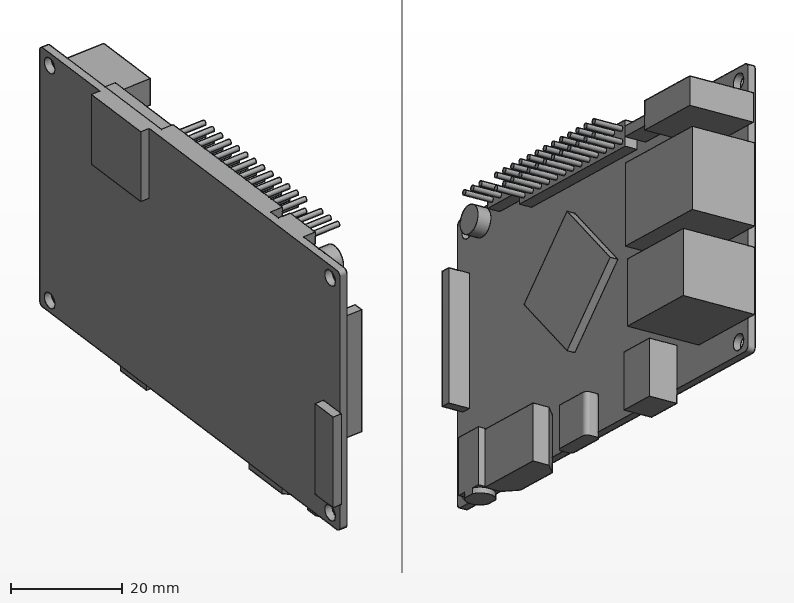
import cadquery as cq


BOARD_LENGTH = 90.9
BOARD_HEIGHT = 55.6
BOARD_THICKNESS = 1.6
BOARD_CORNER_RADIUS = 0.9
HOLE_DIAMETER = 3.2
HOLE_SIDE_INSET = 3.0
HOLE_TOP_INSET = 2.7
HOLE_BOTTOM_INSET = 2.5

BACK_MODULE_DEPTH = 1.9
BACK_CHIP_SIZE = 14.9
BACK_CHIP_LEFT = 18.2
CARD_SLOT_WIDTH = 5.4
CARD_SLOT_HEIGHT = 19.4
CARD_SLOT_BOTTOM = 6.2
CARD_SLOT_OVERHANG = 0.5

PORT_OVERHANG = 2.1
LOWER_PORT_LENGTH = 17.5
LOWER_PORT_HEIGHT = 13.0
LOWER_PORT_BOTTOM = 6.2
LOWER_PORT_DEPTH = 15.5
MIDDLE_PORT_LENGTH = 20.9
MIDDLE_PORT_HEIGHT = 16.1
MIDDLE_PORT_BOTTOM = 23.3
MIDDLE_PORT_DEPTH = 13.5
POWER_JACK_LENGTH = 14.1
POWER_JACK_HEIGHT = 5.7
POWER_JACK_BOTTOM = 43.4
POWER_JACK_DEPTH = 13.8
POWER_JACK_OVERHANG = 1.7

SLIM_SOCKET_THICKNESS = 2.1
SLIM_SOCKET_DEPTH = 4.5
TOP_SOCKET_LENGTH = 17.5
TOP_SOCKET_LEFT = 14.6
TOP_SOCKET_BOTTOM = 51.0
SIDE_SOCKET_LENGTH = 26.15
SIDE_SOCKET_LEFT = 87.1
SIDE_SOCKET_BOTTOM = 18.2

BOX_PORT_WIDTH = 7.9
BOX_PORT_LEFT = 22.2
BOX_PORT_LENGTH = 11.2
BOX_PORT_DEPTH = 6.0
BOX_PORT_OVERHANG = 2.8
MINI_PORT_WIDTH = 9.0
MINI_PORT_LEFT = 46.1
MINI_PORT_LENGTH = 8.4
MINI_PORT_DEPTH = 3.2
MINI_PORT_OVERHANG = 1.4
MINI_PORT_RADIUS = 0.9
VIDEO_PORT_WIDTH = 15.0
VIDEO_PORT_LEFT = 58.7
VIDEO_PORT_LENGTH = 11.2
VIDEO_PORT_DEPTH = 6.0
VIDEO_PORT_OVERHANG = 3.0
VIDEO_PORT_CHAMFER = 2.5

AUDIO_WIDTH = 6.2
AUDIO_LEFT = 77.1
AUDIO_LENGTH = 11.2
AUDIO_DEPTH = 5.0
AUDIO_OVERHANG = 1.1
AUDIO_NOSE_DIAMETER = 5.6
AUDIO_NOSE_LENGTH = 1.1

MAIN_HEADER_LENGTH = 33.1
MAIN_HEADER_COLUMNS = 13
PIN_PITCH = MAIN_HEADER_LENGTH / MAIN_HEADER_COLUMNS
PIN_DIAMETER = 1.0
PIN_TIP_DEPTH = 8.6
HEADER_DEPTH = 2.6
MAIN_HEADER_LEFT = 34.65
MAIN_HEADER_ROWS = 2
SMALL_HEADER_LEFT = 70.05
SMALL_HEADER_COLUMNS = 3
SMALL_HEADER_ROWS = 1

RECEIVER_DIAMETER = 5.6
RECEIVER_X = 83.2
RECEIVER_DEPTH = 2.8

PROCESSOR_SIZE = 19.1
PROCESSOR_X = 54.2
PROCESSOR_Z = 31.3
PROCESSOR_DEPTH = 1.7
PROCESSOR_ANGLE = 45


def block(left, bottom, width, height, depth, base=BOARD_THICKNESS):
    """Box placed by its lower-left corner, rising from Y = base toward +Y."""
    return cq.Workplane("XY").box(width, depth, height, centered=False).translate((left, base, bottom))


def cylinder(x, z, diameter, depth):
    """Cylinder with its axis along Y, rising from the front face of the board."""
    axis_plane = cq.Plane(origin=(x, BOARD_THICKNESS, z), xDir=(1, 0, 0), normal=(0, 1, 0))
    return cq.Workplane(axis_plane).circle(diameter / 2).extrude(depth)


def circuit_board():
    board = block(0, 0, BOARD_LENGTH, BOARD_HEIGHT, BOARD_THICKNESS, base=0)
    board = board.edges("|Y").fillet(BOARD_CORNER_RADIUS)
    for x in (HOLE_SIDE_INSET, BOARD_LENGTH - HOLE_SIDE_INSET):
        for z in (HOLE_BOTTOM_INSET, BOARD_HEIGHT - HOLE_TOP_INSET):
            hole = cylinder(x, z, HOLE_DIAMETER, -BOARD_THICKNESS)
            board = board.cut(hole)
    return board


def back_modules():
    chip = block(BACK_CHIP_LEFT, BOARD_HEIGHT - BACK_CHIP_SIZE, BACK_CHIP_SIZE, BACK_CHIP_SIZE,
                 BACK_MODULE_DEPTH, base=-BACK_MODULE_DEPTH)
    slot_left = BOARD_LENGTH + CARD_SLOT_OVERHANG - CARD_SLOT_WIDTH
    card_slot = block(slot_left, CARD_SLOT_BOTTOM, CARD_SLOT_WIDTH, CARD_SLOT_HEIGHT,
                      BACK_MODULE_DEPTH, base=-BACK_MODULE_DEPTH)
    return [chip, card_slot]


def left_ports():
    lower = block(-PORT_OVERHANG, LOWER_PORT_BOTTOM, LOWER_PORT_LENGTH, LOWER_PORT_HEIGHT, LOWER_PORT_DEPTH)
    middle = block(-PORT_OVERHANG, MIDDLE_PORT_BOTTOM, MIDDLE_PORT_LENGTH, MIDDLE_PORT_HEIGHT,
                   MIDDLE_PORT_DEPTH)
    power = block(-POWER_JACK_OVERHANG, POWER_JACK_BOTTOM, POWER_JACK_LENGTH, POWER_JACK_HEIGHT,
                  POWER_JACK_DEPTH)
    return [lower, middle, power]


def slim_sockets():
    top = block(TOP_SOCKET_LEFT, TOP_SOCKET_BOTTOM, TOP_SOCKET_LENGTH, SLIM_SOCKET_THICKNESS,
                SLIM_SOCKET_DEPTH)
    side = block(SIDE_SOCKET_LEFT, SIDE_SOCKET_BOTTOM, SLIM_SOCKET_THICKNESS, SIDE_SOCKET_LENGTH,
                 SLIM_SOCKET_DEPTH)
    return [top, side]


def bottom_ports():
    box_port = block(BOX_PORT_LEFT, -BOX_PORT_OVERHANG, BOX_PORT_WIDTH, BOX_PORT_LENGTH, BOX_PORT_DEPTH)
    mini_port = block(MINI_PORT_LEFT, -MINI_PORT_OVERHANG, MINI_PORT_WIDTH, MINI_PORT_LENGTH, MINI_PORT_DEPTH)
    mini_port = mini_port.edges("|Z").fillet(MINI_PORT_RADIUS)
    video_port = block(VIDEO_PORT_LEFT, -VIDEO_PORT_OVERHANG, VIDEO_PORT_WIDTH, VIDEO_PORT_LENGTH,
                       VIDEO_PORT_DEPTH)
    video_port = video_port.faces("<Y").edges("|Z").chamfer(VIDEO_PORT_CHAMFER)
    return [box_port, mini_port, video_port]


def audio_jack():
    body = block(AUDIO_LEFT, -AUDIO_OVERHANG, AUDIO_WIDTH, AUDIO_LENGTH, AUDIO_DEPTH)
    nose_center = (AUDIO_LEFT + AUDIO_WIDTH / 2, BOARD_THICKNESS + AUDIO_DEPTH / 2)
    nose_bottom = -AUDIO_OVERHANG - AUDIO_NOSE_LENGTH
    nose = (
        cq.Workplane("XY", origin=(0, 0, nose_bottom))
        .center(*nose_center)
        .circle(AUDIO_NOSE_DIAMETER / 2)
        .extrude(AUDIO_NOSE_LENGTH)
    )
    flats = block(AUDIO_LEFT, nose_bottom, AUDIO_WIDTH, AUDIO_NOSE_LENGTH, AUDIO_DEPTH)
    return body.union(nose.intersect(flats))


def pin_header(left, columns, rows):
    """Header block flush with the top edge of the board, with one round pin per grid cell."""
    height = rows * PIN_PITCH
    header = block(left, BOARD_HEIGHT - height, columns * PIN_PITCH, height, HEADER_DEPTH)
    for column in range(columns):
        for row in range(rows):
            x = left + (column + 0.5) * PIN_PITCH
            z = BOARD_HEIGHT - (row + 0.5) * PIN_PITCH
            header = header.union(cylinder(x, z, PIN_DIAMETER, PIN_TIP_DEPTH))
    return header


def pin_headers():
    main = pin_header(MAIN_HEADER_LEFT, MAIN_HEADER_COLUMNS, MAIN_HEADER_ROWS)
    small = pin_header(SMALL_HEADER_LEFT, SMALL_HEADER_COLUMNS, SMALL_HEADER_ROWS)
    return [main, small]


def receiver():
    return cylinder(RECEIVER_X, BOARD_HEIGHT - RECEIVER_DIAMETER / 2, RECEIVER_DIAMETER, RECEIVER_DEPTH)


def processor():
    chip = cq.Workplane("XY").box(PROCESSOR_SIZE, PROCESSOR_DEPTH, PROCESSOR_SIZE)
    chip = chip.rotate((0, 0, 0), (0, 1, 0), PROCESSOR_ANGLE)
    return chip.translate((PROCESSOR_X, BOARD_THICKNESS + PROCESSOR_DEPTH / 2, PROCESSOR_Z))


components = back_modules() + left_ports() + slim_sockets() + bottom_ports() + pin_headers()
components += [audio_jack(), receiver(), processor()]

result = circuit_board()
for component in components:
    result = result.union(component)